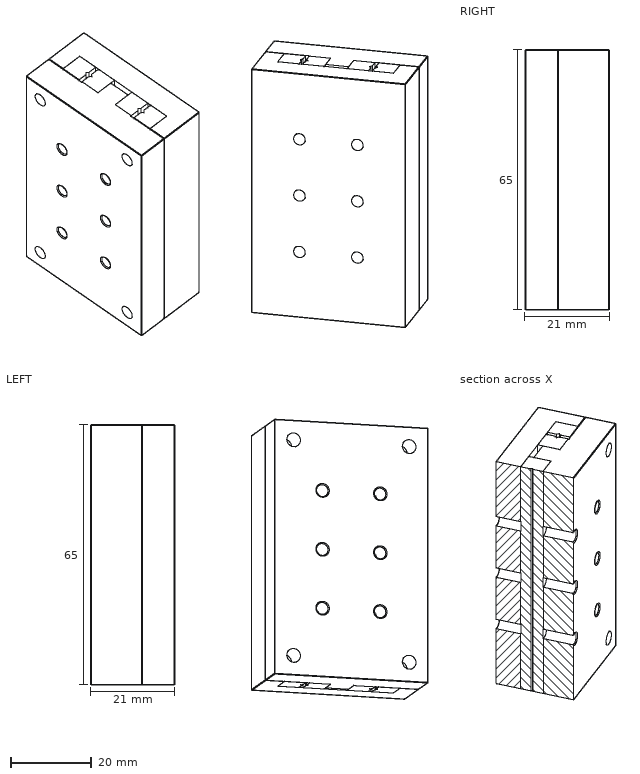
import cadquery as cq

WIDTH = 40.0
DEPTH = 21.0
LENGTH = 65.0
EDGE_CHAMFER = 0.16

FRONT_Y = -DEPTH / 2
BACK_Y = DEPTH / 2
CHANNEL_FLOOR_Y = 3.8
RAIL_HEIGHT = 6.0
RAIL_SEAT_Y = CHANNEL_FLOOR_Y - RAIL_HEIGHT
SEAT_RELIEF = 0.2
CARRIAGE_TOP_Y = RAIL_SEAT_Y - SEAT_RELIEF
LIP_GAP = 0.25
LIP_Y = CARRIAGE_TOP_Y + LIP_GAP
BOSS_TOP_Y = 2.4

CHANNEL_WIDTH = 30.0
BOSS_WIDTH = 6.0
RAIL_GAP = 1.0
RAIL_PAIR_WIDTH = (CHANNEL_WIDTH - BOSS_WIDTH) / 2
RAIL_WIDTH = (RAIL_PAIR_WIDTH - RAIL_GAP) / 2
PAIR_CENTRE_X = (CHANNEL_WIDTH + BOSS_WIDTH) / 4

GROOVE_DEPTH = 0.5
GROOVE_HEIGHT = 2 * GROOVE_DEPTH

CORNER_HOLE_DIAMETER = 3.5
CORNER_SPACING_X = 30.0
CORNER_SPACING_Z = 55.0
TAPPED_HOLE_DIAMETER = 3.0
TAPPED_MOUTH_DIAMETER = 3.5
TAPPED_SPACING = 15.0
TAPPED_ROWS = 3
MOUTH_CHAMFER = (TAPPED_MOUTH_DIAMETER - TAPPED_HOLE_DIAMETER) / 2
MOUTH_TAPER = 45


def bar(x_min, x_max, y_min, y_max):
    """Full-length rectangular bar along Z."""
    return cq.Workplane("XY").box(x_max - x_min, y_max - y_min, LENGTH).translate(
        ((x_min + x_max) / 2, (y_min + y_max) / 2, 0)
    )


def tapped_holes():
    """Cylinders for the grid of tapped holes, running the whole depth."""
    return (
        cq.Workplane("XZ", origin=(0, BACK_Y, 0))
        .rarray(TAPPED_SPACING, TAPPED_SPACING, 2, TAPPED_ROWS)
        .circle(TAPPED_HOLE_DIAMETER / 2)
        .extrude(DEPTH)
    )


def tapped_mouths():
    """Cones that chamfer the tapped holes at the front face."""
    return (
        cq.Workplane("XZ", origin=(0, FRONT_Y, 0))
        .rarray(TAPPED_SPACING, TAPPED_SPACING, 2, TAPPED_ROWS)
        .circle(TAPPED_MOUTH_DIAMETER / 2)
        .extrude(-MOUTH_CHAMFER, taper=MOUTH_TAPER)
    )


def corner_holes():
    """Cylinders for the four plain holes through the carriage."""
    return (
        cq.Workplane("XZ", origin=(0, CARRIAGE_TOP_Y, 0))
        .rarray(CORNER_SPACING_X, CORNER_SPACING_Z, 2, 2)
        .circle(CORNER_HOLE_DIAMETER / 2)
        .extrude(CARRIAGE_TOP_Y - FRONT_Y)
    )


def make_housing():
    """Back block with the channel that holds the rails."""
    block = bar(-WIDTH / 2, WIDTH / 2, LIP_Y, BACK_Y)
    block = block.edges("not <Y").chamfer(EDGE_CHAMFER)
    channel = bar(-CHANNEL_WIDTH / 2, CHANNEL_WIDTH / 2, LIP_Y, CHANNEL_FLOOR_Y)
    return block.cut(channel).cut(tapped_holes())


def make_carriage():
    """Front plate with the rail seats and the central boss between the inner rails."""
    plate = bar(-WIDTH / 2, WIDTH / 2, FRONT_Y, CARRIAGE_TOP_Y)
    plate = plate.edges("not >Y").chamfer(EDGE_CHAMFER)
    seat_edge = BOSS_WIDTH / 2 + RAIL_WIDTH
    seats = bar(-seat_edge, seat_edge, CARRIAGE_TOP_Y, RAIL_SEAT_Y)
    boss = bar(-BOSS_WIDTH / 2, BOSS_WIDTH / 2, RAIL_SEAT_Y, BOSS_TOP_Y)
    carriage = plate.union(seats).union(boss)
    return carriage.cut(corner_holes()).cut(tapped_holes()).cut(tapped_mouths())


def make_rail(centre_x, groove_side):
    """Rail with a V groove on its +X side (groove_side = 1) or -X side (groove_side = -1)."""
    half_width = RAIL_WIDTH / 2
    mid_y = RAIL_HEIGHT / 2
    face_x = groove_side * half_width
    return (
        cq.Workplane("XY", origin=(centre_x, RAIL_SEAT_Y, -LENGTH / 2))
        .moveTo(-face_x, 0)
        .lineTo(face_x, 0)
        .lineTo(face_x, mid_y - GROOVE_HEIGHT / 2)
        .lineTo(face_x - groove_side * GROOVE_DEPTH, mid_y)
        .lineTo(face_x, mid_y + GROOVE_HEIGHT / 2)
        .lineTo(face_x, RAIL_HEIGHT)
        .lineTo(-face_x, RAIL_HEIGHT)
        .close()
        .extrude(LENGTH)
    )


housing = make_housing()
carriage = make_carriage()

rail_offset = (RAIL_WIDTH + RAIL_GAP) / 2
rails = []
for pair_x in (-PAIR_CENTRE_X, PAIR_CENTRE_X):
    for side in (-1, 1):
        rails.append(make_rail(pair_x + side * rail_offset, -side).val())

result = cq.Compound.makeCompound([housing.val(), carriage.val(), *rails])